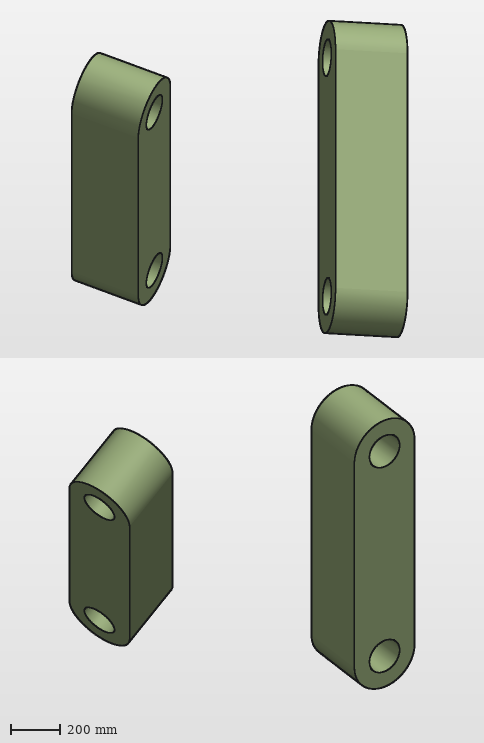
import cadquery as cq

length = 1293.0
width = 300.0
thickness = 300.0
hole_diameter = 150.0

hole_spacing = length - width

link = (
    cq.Workplane("YZ")
    .slot2D(length, width, angle=90)
    .extrude(thickness / 2, both=True)
)

pin_holes = (
    cq.Workplane("YZ")
    .pushPoints([(0, -hole_spacing / 2), (0, hole_spacing / 2)])
    .circle(hole_diameter / 2)
    .extrude(thickness / 2, both=True)
)

result = link.cut(pin_holes)